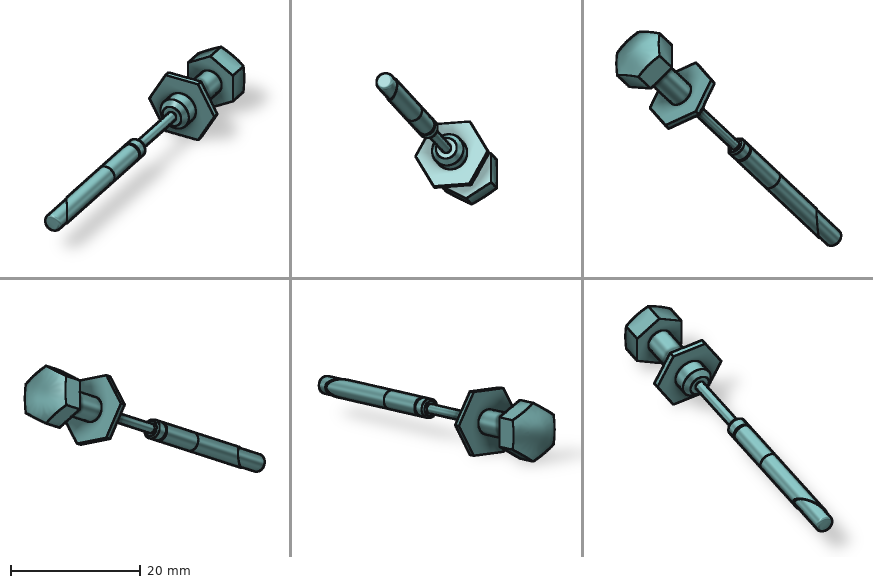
import cadquery as cq
import math

total_length = 54.1

head_flats = 8.0
head_height = 4.35
dome_height = 1.0
shank_diameter = 4.0
shank_length = 8.0

flange_flats = 10.0
flange_thickness = 1.0
boss_diameter = 5.05
boss_length = 3.1
boss_chamfer = 0.85

rod_diameter = 1.5
tip_diameter = 2.8
tip_fillet = 0.5

sleeve_diameter = 3.05
collar_front = 24.95
collar_rear = 27.0
collar_chamfer = 0.3
joint_chamfer = 0.1
sleeve_split = 17.05
wedge_rear = 7.2
wedge_front = 2.1

head_seat = total_length - head_height
flange_rear = head_seat - shank_length
flange_front = flange_rear - flange_thickness
boss_front = flange_front - boss_length


def plane_at(y):
    """Workplane across the axis at the given Y, with its normal along +Y."""
    return cq.Workplane(cq.Plane(origin=(0, y, 0), xDir=(1, 0, 0), normal=(0, 1, 0)))


def cylinder(diameter, y_front, y_rear):
    return plane_at(y_front).circle(diameter / 2).extrude(y_rear - y_front)


def hexagon(flats, y_front, y_rear, turn=0):
    """Hex prism with corners on the X axis, or turned about its own axis by an angle."""
    corner_diameter = flats / math.cos(math.pi / 6)
    prism = plane_at(y_front).polygon(6, corner_diameter).extrude(y_rear - y_front)
    return prism.rotate((0, 0, 0), (0, 1, 0), turn)


def rod_bore(y_front, y_rear):
    return cylinder(rod_diameter, y_front, y_rear)


def make_bolt():
    corner_radius = head_flats / math.cos(math.pi / 6) / 2
    crown_base = total_length - dome_height
    crown_radius = (corner_radius**2 + dome_height**2) / (2 * dome_height)
    half_angle = math.asin(corner_radius / crown_radius) / 2
    crown_middle = (
        crown_radius * math.sin(half_angle),
        total_length - crown_radius * (1 - math.cos(half_angle)),
    )
    head_envelope = (
        cq.Workplane("XY")
        .moveTo(0, head_seat)
        .lineTo(corner_radius, head_seat)
        .lineTo(corner_radius, crown_base)
        .threePointArc(crown_middle, (0, total_length))
        .close()
        .revolve(360, (0, 0, 0), (0, 1, 0))
    )
    head = hexagon(head_flats, head_seat, total_length, turn=30).intersect(head_envelope)
    return head.union(cylinder(shank_diameter, flange_rear, head_seat))


def make_nut():
    boss = cylinder(boss_diameter, boss_front, flange_front).faces("<Y").chamfer(boss_chamfer)
    flange = hexagon(flange_flats, flange_front, flange_rear)
    return flange.union(boss).cut(rod_bore(boss_front, flange_rear))


def make_collar():
    collar = cylinder(sleeve_diameter, collar_front, collar_rear)
    collar = collar.faces(">Y").chamfer(collar_chamfer)
    collar = collar.faces("<Y").chamfer(joint_chamfer)
    return collar.cut(rod_bore(collar_front, collar_rear))


def make_rear_sleeve():
    sleeve = cylinder(sleeve_diameter, sleeve_split, collar_front)
    sleeve = sleeve.faces(">Y").chamfer(joint_chamfer)
    return sleeve.cut(rod_bore(sleeve_split, collar_front))


def region_before_slant():
    """Block on the tip side of the slanted joint between front sleeve and wedge tip."""
    half_width = sleeve_diameter / 2
    return (
        cq.Workplane("XY")
        .moveTo(-half_width, 0)
        .lineTo(half_width, 0)
        .lineTo(half_width, wedge_front)
        .lineTo(-half_width, wedge_rear)
        .close()
        .extrude(half_width, both=True)
    )


def make_front_sleeve():
    sleeve = cylinder(sleeve_diameter, 0, sleeve_split).cut(region_before_slant())
    return sleeve.cut(rod_bore(0, sleeve_split))


def make_wedge_rod():
    tip = cylinder(tip_diameter, 0, wedge_rear).faces("<Y").edges().fillet(tip_fillet)
    tip = tip.intersect(region_before_slant())
    return tip.union(cylinder(rod_diameter, wedge_front, flange_rear))


bolt = make_bolt()
nut = make_nut()
collar = make_collar()
rear_sleeve = make_rear_sleeve()
front_sleeve = make_front_sleeve()
wedge_rod = make_wedge_rod()

result = cq.Compound.makeCompound([
    bolt.val(),
    nut.val(),
    collar.val(),
    rear_sleeve.val(),
    front_sleeve.val(),
    wedge_rod.val(),
])